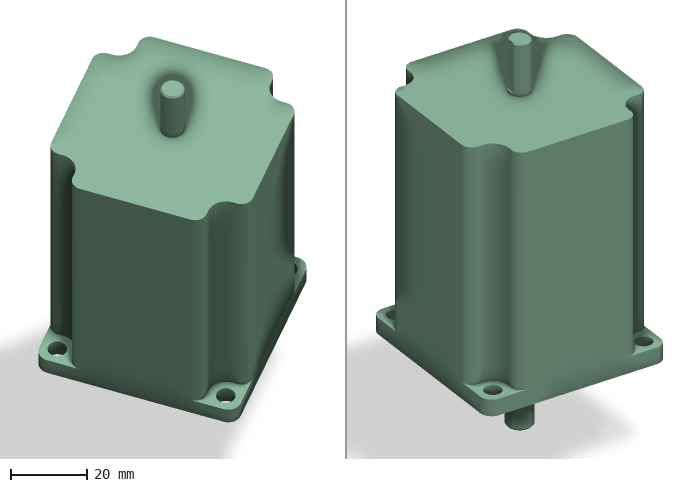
import cadquery as cq

width = 56.4
total_length = 117.0
plate_thickness = 5.0
body_top = 77.0

plate_corner_radius = 3.5
hole_spacing = 47.2
hole_diameter = 5.1

recess_depth = 9.5
recess_inner_radius = 5.0
recess_edge_radius = 3.2

pilot_diameter = 38.1
pilot_height = 1.6

output_diameter = 8.0
output_length = 24.0
output_flat_depth = 0.5
output_flat_start = 4.2
output_chamfer = 0.6

rear_diameter = 6.4
rear_length = total_length - output_length - body_top
rear_flat_depth = 0.5
rear_flat_start = 0.9
rear_chamfer = 0.5


def make_plate():
    plate = cq.Workplane("XY").rect(width, width).extrude(plate_thickness)
    plate = plate.edges("|Z").fillet(plate_corner_radius)
    holes = (
        cq.Workplane("XY")
        .rect(hole_spacing, hole_spacing, forConstruction=True)
        .vertices()
        .circle(hole_diameter / 2)
        .extrude(plate_thickness)
    )
    return plate.cut(holes)


def make_body():
    """Square block with a rounded recess along each vertical corner."""
    height = body_top - plate_thickness
    core_width = width - 2 * recess_depth
    base = cq.Workplane("XY").workplane(offset=plate_thickness)
    wide = base.rect(width, core_width).extrude(height)
    deep = base.rect(core_width, width).extrude(height)
    body = wide.union(deep)

    slab_reach = core_width / 2 + recess_depth / 2
    slab_bottom = plate_thickness + height / 3
    slab_top = body_top - height / 3
    inner_edges = cq.selectors.BoxSelector(
        (-slab_reach, -slab_reach, slab_bottom),
        (slab_reach, slab_reach, slab_top),
    )
    body = body.edges(inner_edges).fillet(recess_inner_radius)
    outer_edges = "(|Z and (>X or <X)) or (|Z and (>Y or <Y))"
    return body.edges(outer_edges).fillet(recess_edge_radius)


def make_shaft(diameter, length, flat_depth, flat_start, chamfer):
    """Upright shaft from Z = 0 with a chamfered tip and a flat facing +Y."""
    shaft = cq.Workplane("XY").circle(diameter / 2).extrude(length)
    shaft = shaft.faces(">Z").chamfer(chamfer)
    flat_cutter = cq.Workplane("XY").box(
        diameter, diameter, length - flat_start, centered=(True, False, False)
    )
    return shaft.cut(flat_cutter.translate((0, diameter / 2 - flat_depth, flat_start)))


pilot = cq.Workplane("XY").circle(pilot_diameter / 2).extrude(-pilot_height)
rear_shaft = make_shaft(
    rear_diameter, rear_length, rear_flat_depth, rear_flat_start, rear_chamfer
).translate((0, 0, body_top))
output_shaft = make_shaft(
    output_diameter, output_length, output_flat_depth, output_flat_start, output_chamfer
).mirror("XY")

result = make_plate().union(make_body()).union(pilot).union(rear_shaft).union(output_shaft)